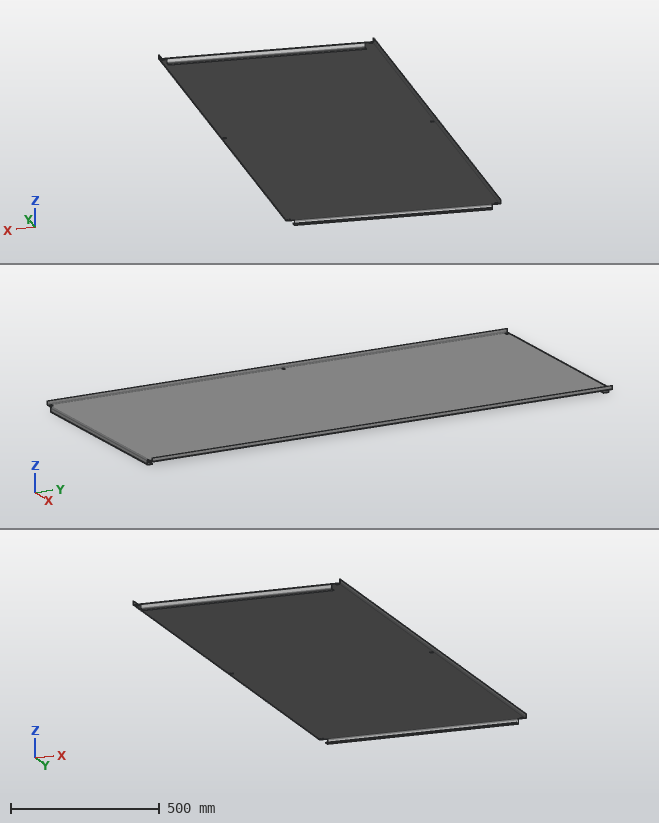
import cadquery as cq

width = 745.0
length = 1760.0
height = 32.5

thickness = 2.5
inner_radius = 1.0
outer_radius = inner_radius + thickness

side_flange_height = 15.0
side_flange_length = 1753.0

end_flange_inset = 30.0
end_flange_width = width - 2 * end_flange_inset
end_flange_drop = height - side_flange_height + thickness
end_return_depth = 20.0

slot_width = 10.0
slot_length = 7.0
slot_side_inset = 13.5
slot_end_inset = 12.0
middle_slot_y = 17.0

sheet_bottom = -thickness
end_flange_bottom = -end_flange_drop


def block(size_x, size_y, size_z, center_y, bottom_z):
    """Box centred on x = 0 and on the given y, standing on the given z."""
    return cq.Workplane("XY", origin=(0, center_y, bottom_z)).box(
        size_x, size_y, size_z, centered=(True, True, False)
    )


def side_folded_sheet():
    """Flat sheet with both long sides bent upwards."""
    outside = block(width, side_flange_length, side_flange_height, 0, sheet_bottom)
    outside = outside.edges("|Y and <Z").fillet(outer_radius)
    inside = block(width - 2 * thickness, side_flange_length, side_flange_height, 0, 0)
    inside = inside.edges("|Y and <Z").fillet(inner_radius)
    return outside.cut(inside)


def end_flange():
    """Channel along the +Y end: overlaps the sheet, drops, and returns under it."""
    return_edge_y = length / 2 - end_return_depth
    outside = block(
        end_flange_width,
        end_return_depth,
        end_flange_drop,
        return_edge_y + end_return_depth / 2,
        end_flange_bottom,
    )
    outside = outside.edges("|X and >Y").fillet(outer_radius)
    cavity_depth = end_return_depth - thickness
    cavity = block(
        end_flange_width,
        cavity_depth,
        end_flange_drop - 2 * thickness,
        return_edge_y + cavity_depth / 2,
        end_flange_bottom + thickness,
    )
    cavity = cavity.edges("|X and >Y").fillet(inner_radius)
    return outside.cut(cavity)


def sheet_slots():
    """Cutters for the slots at the four corners and near the middle of each side."""
    slot_x = width / 2 - slot_side_inset
    corner_y = length / 2 - slot_end_inset
    centers = [(x, y) for x in (-slot_x, slot_x) for y in (-corner_y, middle_slot_y, corner_y)]
    return (
        cq.Workplane("XY", origin=(0, 0, sheet_bottom))
        .pushPoints(centers)
        .rect(slot_width, slot_length)
        .extrude(thickness)
    )


back_end = end_flange()
front_end = back_end.mirror("XZ")
result = side_folded_sheet().union(back_end).union(front_end).cut(sheet_slots())